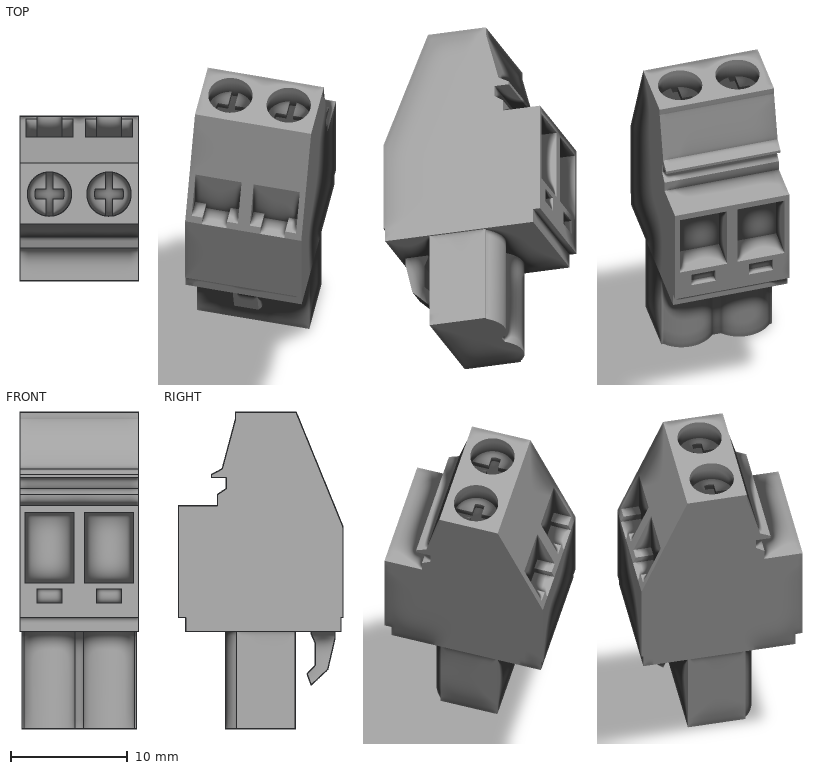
import cadquery as cq


TOTAL_HEIGHT = 27.1
HOUSING_WIDTH = 10.15
HOUSING_DEPTH = 14.1
POLE_PITCH = 5.1
POLE_CENTRES = (-POLE_PITCH / 2, POLE_PITCH / 2)

PLUG_HEIGHT = 8.32
PLUG_WIDTH = 9.8
PLUG_REAR_Y = -4.1
PLUG_FRONT_Y = -9.13
BULGE_WIDTH = 4.34
BULGE_RISE = 0.95

FRONT_Y = -HOUSING_DEPTH
FOOT_HEIGHT = 1.2
FOOT_TOP_Z = PLUG_HEIGHT + FOOT_HEIGHT
FOOT_REAR_Y = -0.15
FOOT_FRONT_Y = FRONT_Y + 0.62
SHELF_Z = 19.1
SHELF_REAR_Y = -10.75
SLOPE_FOOT_Z = 17.3
TOP_REAR_Y = -4.0
TOP_FRONT_Y = -9.21
TOP_BAND_HEIGHT = 0.6
LIP_ROOT = (-10.35, 22.25)
LIP_TIP_Y = -11.27
LIP_TIP_Z = 21.75
LIP_UNDERSIDE_Z = 21.5
GROOVE_Y = -10.0
GROOVE_FLOOR_Z = 20.57
GROOVE_EDGE_Z = 20.05

WIRE_OPENING_WIDTH = 4.17
WIRE_OPENING_HEIGHT = 6.02
WIRE_OPENING_DEPTH = 2.6
WIRE_OPENING_BASE_Z = 12.5
TEST_SLOT_WIDTH = 2.15
TEST_SLOT_HEIGHT = 1.2
TEST_SLOT_DEPTH = 0.62
TEST_SLOT_BASE_Z = 10.79

NOTCH_WIDTH = 4.05
NOTCH_CENTRE_WIDTH = TEST_SLOT_WIDTH
NOTCH_FRONT_Y = -1.8
NOTCH_LEDGE_Y = -0.25

HOOK_WIDTH = 2.15
HOOK_REAR_Y = -0.68
HOOK_FRONT_Y = -2.75
HOOK_REAR_SHOULDER_Z = 7.78
HOOK_FRONT_SHOULDER_Z = 8.13
HOOK_NECK_Y = -2.38
HOOK_NECK_TOP_Z = 7.32
HOOK_NECK_BASE_Z = 5.45
HOOK_HEEL = (-1.3, 5.1)
HOOK_TIP = (-2.75, 3.75)
HOOK_BARB = (-3.1, 4.72)

SCREW_Y = -6.67
SCREW_RADIUS = 1.9
SCREW_HEIGHT = 2.7
SCREW_RECESS = 1.9
SCREW_TOP_Z = TOTAL_HEIGHT - SCREW_RECESS
SCREW_BASE_Z = SCREW_TOP_Z - SCREW_HEIGHT
DRIVE_DEPTH = 0.55
LONG_SLOT_WIDTH = 0.6
CROSS_SLOT_WIDTH = 0.85
CROSS_SLOT_RADIUS = 1.25


def block(x_centre, width, rear_y, front_y, base_z, top_z):
    """Box centred on x_centre, between two Y positions and two heights."""
    return cq.Workplane("XY").box(
        width, rear_y - front_y, top_z - base_z, centered=(True, False, False)
    ).translate((x_centre, front_y, base_z))


def extrude_side_profile(points, width):
    """Extrude a (Y, Z) outline along X, symmetric about the mid-plane."""
    return cq.Workplane("YZ").polyline(points).close().extrude(width / 2, both=True)


def make_shell():
    """Outer block of the housing: rear slope, front lip and groove, shelf and recessed foot."""
    return extrude_side_profile(
        [
            (FOOT_REAR_Y, PLUG_HEIGHT),
            (FOOT_REAR_Y, FOOT_TOP_Z),
            (0, FOOT_TOP_Z),
            (0, SLOPE_FOOT_Z),
            (TOP_REAR_Y, TOTAL_HEIGHT),
            (TOP_FRONT_Y, TOTAL_HEIGHT),
            (TOP_FRONT_Y, TOTAL_HEIGHT - TOP_BAND_HEIGHT),
            LIP_ROOT,
            (LIP_TIP_Y, LIP_TIP_Z),
            (LIP_TIP_Y, LIP_UNDERSIDE_Z),
            (GROOVE_Y, LIP_UNDERSIDE_Z),
            (GROOVE_Y, GROOVE_FLOOR_Z),
            (SHELF_REAR_Y, GROOVE_EDGE_Z),
            (SHELF_REAR_Y, SHELF_Z),
            (FRONT_Y, SHELF_Z),
            (FRONT_Y, FOOT_TOP_Z),
            (FOOT_FRONT_Y, FOOT_TOP_Z),
            (FOOT_FRONT_Y, PLUG_HEIGHT),
        ],
        HOUSING_WIDTH,
    )


def make_plug():
    """Plug body: flat sides and rear, with one rounded bulge per pole on the front."""
    half_width = PLUG_WIDTH / 2
    outline = cq.Workplane("XY").moveTo(-half_width, PLUG_REAR_Y).lineTo(-half_width, PLUG_FRONT_Y)
    for x in POLE_CENTRES:
        outline = outline.lineTo(x - BULGE_WIDTH / 2, PLUG_FRONT_Y)
        outline = outline.threePointArc(
            (x, PLUG_FRONT_Y - BULGE_RISE), (x + BULGE_WIDTH / 2, PLUG_FRONT_Y)
        )
    outline = outline.lineTo(half_width, PLUG_FRONT_Y).lineTo(half_width, PLUG_REAR_Y)
    return outline.close().extrude(PLUG_HEIGHT)


def make_hook():
    """Latch hook hanging from the underside of the housing."""
    return extrude_side_profile(
        [
            (HOOK_REAR_Y, PLUG_HEIGHT),
            (HOOK_REAR_Y, HOOK_REAR_SHOULDER_Z),
            HOOK_HEEL,
            HOOK_TIP,
            HOOK_BARB,
            (HOOK_NECK_Y, HOOK_NECK_BASE_Z),
            (HOOK_NECK_Y, HOOK_NECK_TOP_Z),
            (HOOK_FRONT_Y, HOOK_FRONT_SHOULDER_Z),
            (HOOK_FRONT_Y, PLUG_HEIGHT),
        ],
        HOOK_WIDTH,
    )


def make_front_openings(x):
    """Wire opening and the smaller test slot below it, for the pole at x."""
    wire_opening = block(
        x, WIRE_OPENING_WIDTH, FRONT_Y + WIRE_OPENING_DEPTH, FRONT_Y,
        WIRE_OPENING_BASE_Z, WIRE_OPENING_BASE_Z + WIRE_OPENING_HEIGHT,
    )
    test_slot = block(
        x, TEST_SLOT_WIDTH, FRONT_Y + TEST_SLOT_DEPTH, FRONT_Y,
        TEST_SLOT_BASE_Z, TEST_SLOT_BASE_Z + TEST_SLOT_HEIGHT,
    )
    return wire_opening.union(test_slot)


def make_rear_notch(x):
    """Notch in the rear slope: two side ledges and a lower centre reaching the rear face."""
    slope_gradient = (TOTAL_HEIGHT - SLOPE_FOOT_Z) / TOP_REAR_Y
    ledge_z = SLOPE_FOOT_Z + slope_gradient * NOTCH_LEDGE_Y
    ledges = block(x, NOTCH_WIDTH, NOTCH_LEDGE_Y, NOTCH_FRONT_Y, ledge_z, TOTAL_HEIGHT)
    centre = block(x, NOTCH_CENTRE_WIDTH, 0, NOTCH_FRONT_Y, SLOPE_FOOT_Z, TOTAL_HEIGHT)
    return ledges.union(centre)


def vertical_cylinder(x, radius, base_z, top_z):
    """Upright cylinder on the screw axis of the pole at x."""
    return cq.Workplane("XY", origin=(x, SCREW_Y, base_z)).circle(radius).extrude(top_z - base_z)


def make_housing():
    """Housing with its plug and latch hook, opened at front, rear and top for each pole."""
    housing = make_shell().union(make_plug()).union(make_hook())
    for x in POLE_CENTRES:
        housing = housing.cut(make_front_openings(x))
        housing = housing.cut(make_rear_notch(x))
        housing = housing.cut(vertical_cylinder(x, SCREW_RADIUS, SCREW_BASE_Z, TOTAL_HEIGHT))
    return housing


def make_screw(x):
    """Plain screw head with a full-length slot along Y and a shorter round-ended one along X."""
    drive_base_z = SCREW_TOP_Z - DRIVE_DEPTH
    long_slot = block(
        x, LONG_SLOT_WIDTH, SCREW_Y + SCREW_RADIUS, SCREW_Y - SCREW_RADIUS, drive_base_z, SCREW_TOP_Z
    )
    half_cross = CROSS_SLOT_WIDTH / 2
    cross_slot = block(
        x, 2 * CROSS_SLOT_RADIUS, SCREW_Y + half_cross, SCREW_Y - half_cross, drive_base_z, SCREW_TOP_Z
    ).intersect(vertical_cylinder(x, CROSS_SLOT_RADIUS, drive_base_z, SCREW_TOP_Z))
    head = vertical_cylinder(x, SCREW_RADIUS, SCREW_BASE_Z, SCREW_TOP_Z)
    return head.cut(long_slot).cut(cross_slot)


housing = make_housing()
screws = [make_screw(x).val() for x in POLE_CENTRES]

result = cq.Compound.makeCompound([housing.val(), *screws])